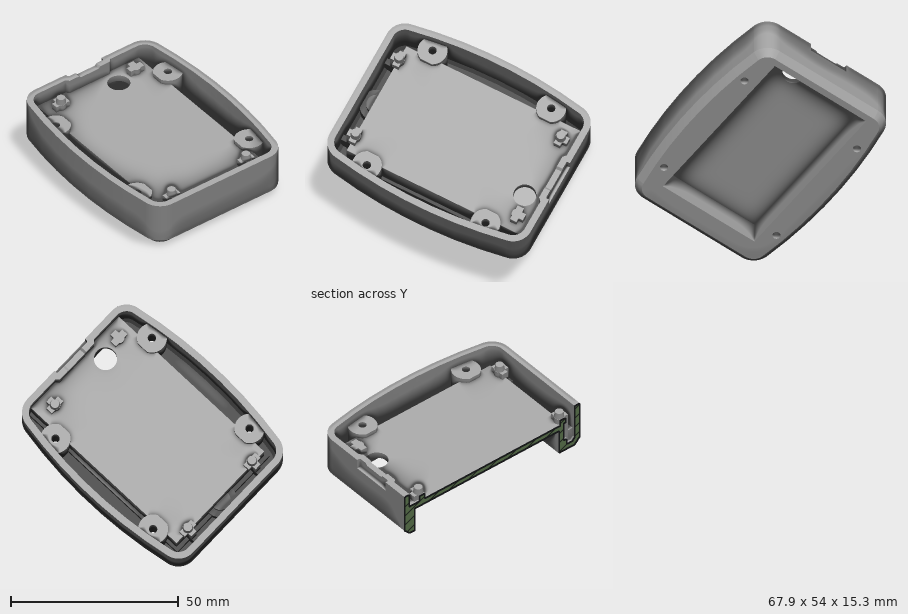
import cadquery as cq
import math

length = 67.9
width = 54.0
height = 15.3
wall = 2.05
base_chamfer = 2.05
corner_radius = 6.0
corner_center_y = 18.4
cavity_chamfer = 0.95

deck_top = 10.6
deck_half_width = 19.1
deck_right = 27.85
deck_thickness = 2.05
compartment_left = -29.9
skirt_top = 4.1
skirt_half_width = 20.0
skirt_right = 29.05
round_hole = (-25.95, 7.05)
round_hole_radius = 3.45

outer_step_radius = 5.1
outer_step_top = 5.1
inner_step_radius = 3.05
inner_step_top = 6.1

boss_x = 20.0
boss_y = 21.0
boss_radius = 4.5
boss_flat_distance = 4.1
boss_top = 12.0
screw_hole_diameter = 2.5

support_left = -27.1
support_right = 27.4
support_back = 14.2
support_front = -13.7
support_top = 12.55
support_radius = 1.6
arm_reach = 2.5
arm_width = 2.2
pin_top = 14.45
pin_base_radius = 1.55
pin_tip_radius = 1.3
tie_rib_width = 1.8
tie_rib_top = 6.1

pad_thickness = 0.95
pad_half_width = 7.5
recess_width = 13.3
recess_height = 3.25
recess_depth = 1.1
recess_fillet = 0.4
notch_half_width = 3.3
notch_depth = 0.7

half_length = length / 2
half_width = width / 2
cavity_half_length = half_length - wall


def block(x_min, x_max, y_min, y_max, z_min, z_max):
    """Axis-aligned box given by its limits."""
    box = cq.Workplane("XY").box(x_max - x_min, y_max - y_min, z_max - z_min, centered=False)
    return box.translate((x_min, y_min, z_min))


def disc(x, y, radius, z_min, z_max):
    """Vertical cylinder between two heights."""
    return cq.Workplane("XY", origin=(x, y, z_min)).circle(radius).extrude(z_max - z_min)


def rounded_outline(inset, z_min):
    """Straight ends, bowed long sides and tangent corner arcs, moved inward by inset."""
    radius = corner_radius - inset
    end_x = half_length - inset
    bow_y = half_width - inset
    center_x = end_x - radius
    rise = bow_y - corner_center_y
    bow_radius = (center_x**2 + rise**2 - radius**2) / (2 * (rise - radius))
    tangent_angle = math.acos(center_x / (bow_radius - radius))
    middle_angle = tangent_angle / 2
    tangent_x = center_x + radius * math.cos(tangent_angle)
    tangent_y = corner_center_y + radius * math.sin(tangent_angle)
    middle_x = center_x + radius * math.cos(middle_angle)
    middle_y = corner_center_y + radius * math.sin(middle_angle)
    return (
        cq.Workplane("XY", origin=(0, 0, z_min))
        .moveTo(end_x, -corner_center_y)
        .lineTo(end_x, corner_center_y)
        .threePointArc((middle_x, middle_y), (tangent_x, tangent_y))
        .threePointArc((0, bow_y), (-tangent_x, tangent_y))
        .threePointArc((-middle_x, middle_y), (-end_x, corner_center_y))
        .lineTo(-end_x, -corner_center_y)
        .threePointArc((-middle_x, -middle_y), (-tangent_x, -tangent_y))
        .threePointArc((0, -bow_y), (tangent_x, -tangent_y))
        .threePointArc((middle_x, -middle_y), (end_x, -corner_center_y))
        .close()
    )


def tray_envelope():
    """Solid outer shape with the chamfered bottom edge."""
    return rounded_outline(0, 0).extrude(height).faces("<Z").edges().chamfer(base_chamfer)


def tray_cavity():
    """Inner space above the floor, chamfered where it meets the floor."""
    cavity = rounded_outline(wall, wall).extrude(height - wall)
    return cavity.faces("<Z").edges().chamfer(cavity_chamfer)


def raised_deck():
    """Deck, the lower skirt around it and the half-round steps on its right side."""
    left = -half_length
    deck = block(left, deck_right, -deck_half_width, deck_half_width, wall, deck_top)
    skirt = block(left, skirt_right, -skirt_half_width, skirt_half_width, wall, skirt_top)
    outer_step = disc(deck_right, 0, outer_step_radius, wall, outer_step_top)
    inner_step = disc(deck_right, 0, inner_step_radius, wall, inner_step_top)
    return deck.union(skirt).union(outer_step).union(inner_step)


def compartment():
    """Space under the deck, open at the bottom."""
    right = deck_right - wall
    half_depth = deck_half_width - wall
    return block(compartment_left, right, -half_depth, half_depth, 0, deck_top - deck_thickness)


def screw_boss(x, side):
    """Round boss against a long wall, with a flat facing the middle of the tray."""
    boss = disc(x, side * boss_y, boss_radius, wall, boss_top)
    flat_y = boss_y - boss_flat_distance
    keep = block(x - boss_radius, x + boss_radius, flat_y, half_width, wall, boss_top)
    if side < 0:
        keep = keep.mirror("XZ")
    return boss.intersect(keep)


def board_support(x, y, has_pin):
    """Round post with one arm toward the nearest end and two along Y, pinned if asked."""
    half_arm = arm_width / 2
    support = disc(x, y, support_radius, deck_top, support_top)
    cross_arm = block(x - half_arm, x + half_arm, y - arm_reach, y + arm_reach, deck_top, support_top)
    end_x = x + math.copysign(arm_reach, x)
    end_arm = block(min(x, end_x), max(x, end_x), y - half_arm, y + half_arm, deck_top, support_top)
    support = support.union(cross_arm).union(end_arm)
    if has_pin:
        pin = (
            cq.Workplane("XY", origin=(x, y, support_top))
            .circle(pin_base_radius)
            .workplane(offset=pin_top - support_top)
            .circle(pin_tip_radius)
            .loft()
        )
        support = support.union(pin)
    return support


def support_rib(y):
    """Web that carries a right-hand support arm down to the floor and ties it to the wall."""
    arm_end = support_right + arm_reach
    half_arm = arm_width / 2
    half_tie = tie_rib_width / 2
    web = block(deck_right, arm_end, y - half_arm, y + half_arm, wall, support_top)
    tie = block(arm_end, cavity_half_length, y - half_tie, y + half_tie, wall, tie_rib_top)
    return web.union(tie)


def connector_pad():
    """Thicker part of the left wall behind the connector recess, with sloped ends."""
    pad_x = -cavity_half_length + pad_thickness
    foot = pad_half_width + pad_thickness
    return (
        cq.Workplane("XY", origin=(0, 0, deck_top))
        .polyline([
            (-half_length, -foot),
            (-cavity_half_length, -foot),
            (pad_x, -pad_half_width),
            (pad_x, pad_half_width),
            (-cavity_half_length, foot),
            (-half_length, foot),
        ])
        .close()
        .extrude(height - deck_top)
    )


def connector_recess():
    """Shallow recess in the outer left face, open at the rim and rounded at its back."""
    half_recess = recess_width / 2
    back = -half_length + recess_depth
    recess = block(-half_length, back, -half_recess, half_recess, height - recess_height, height)
    return recess.faces(">X").edges("not(>Z)").fillet(recess_fillet)


def rim_notch():
    """Shallow notch with 45-degree sides across the rim of the left wall."""
    top_half_width = notch_half_width + notch_depth
    return (
        cq.Workplane("YZ", origin=(-half_length, 0, 0))
        .polyline([
            (-top_half_width, height),
            (-notch_half_width, height - notch_depth),
            (notch_half_width, height - notch_depth),
            (top_half_width, height),
        ])
        .close()
        .extrude(wall + pad_thickness)
    )


envelope = tray_envelope()

additions = raised_deck().union(connector_pad())
for boss_side in (-1, 1):
    for x in (-boss_x, boss_x):
        additions = additions.union(screw_boss(x, boss_side))
for y in (support_front, support_back):
    additions = additions.union(board_support(support_right, y, True)).union(support_rib(y))
additions = additions.union(board_support(support_left, support_front, True))
additions = additions.union(board_support(support_left, support_back, False))

result = envelope.cut(tray_cavity()).union(additions.intersect(envelope))

screw_holes = (
    cq.Workplane("XY")
    .rect(2 * boss_x, 2 * boss_y, forConstruction=True)
    .vertices()
    .circle(screw_hole_diameter / 2)
    .extrude(height)
)
result = (
    result.cut(compartment())
    .cut(disc(*round_hole, round_hole_radius, 0, height))
    .cut(screw_holes)
    .cut(connector_recess())
    .cut(rim_notch())
)